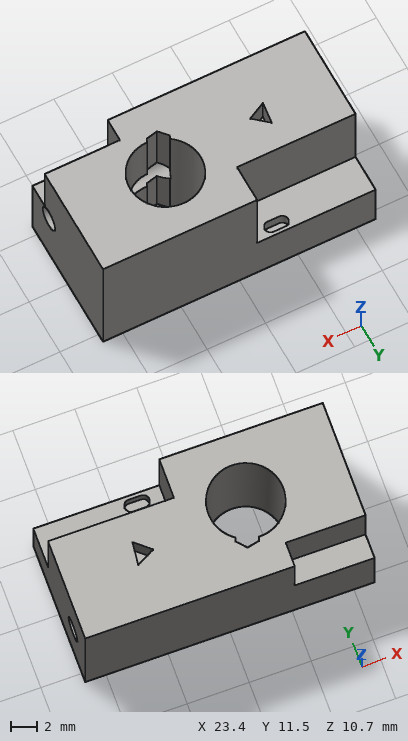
import cadquery as cq

LENGTH = 23.36
WIDTH = 11.53
HEIGHT = 10.7

REAR_STEP_LENGTH = 10.16
REAR_STEP_WIDTH = 3.27
REAR_STEP_DROP = 6.35
FRONT_STEP_LENGTH = 6.45
FRONT_STEP_WIDTH = 2.0
FRONT_STEP_DROP = 4.7

BORE_DIAMETER = 6.05
BORE_X = 15.2
BORE_Y = 6.17
NOTCH_SIDES = 6
NOTCH_DIAMETER = 2.06
NOTCH_OFFSET = 2.69
NOTCH_ANGLE = 252.2

CROSS_HOLE_DIAMETER = 2.0
CROSS_HOLE_Y = 2.71
CROSS_HOLE_Z = 5.12

POCKET_BASE = 1.88
POCKET_REACH = 1.4
POCKET_BASE_X = 5.89
POCKET_BASE_Y = 5.08
POCKET_ANGLE = -6.6
POCKET_DEPTH = 2.0

RECESS_LENGTH = 2.0
RECESS_WIDTH = 1.0
RECESS_X = 8.08
RECESS_Y = 10.73
RECESS_DEPTH = 1.0


def corner_step(x, y, length, width, drop):
    """Box that lowers one corner of the top face by the given drop."""
    return cq.Workplane("XY").box(length, width, drop, centered=False).translate((x, y, HEIGHT - drop))


def notched_bore():
    """Vertical bore joined with the hexagonal notch, one hexagon corner pointing outward."""
    bore = cq.Workplane("XY").circle(BORE_DIAMETER / 2).extrude(HEIGHT)
    notch = cq.Workplane("XY").center(NOTCH_OFFSET, 0).polygon(NOTCH_SIDES, NOTCH_DIAMETER).extrude(HEIGHT)
    notch = notch.rotate((0, 0, 0), (0, 0, 1), NOTCH_ANGLE)
    return bore.union(notch).translate((BORE_X, BORE_Y, 0))


def cross_hole():
    """Cylinder along X through the full length."""
    plane = cq.Workplane("YZ").center(CROSS_HOLE_Y, CROSS_HOLE_Z)
    return plane.circle(CROSS_HOLE_DIAMETER / 2).extrude(LENGTH)


def triangular_pocket():
    """Isosceles prism sunk into the top face, turned about the middle of its base."""
    corners = [(0, -POCKET_BASE / 2), (POCKET_REACH, 0), (0, POCKET_BASE / 2)]
    prism = cq.Workplane("XY").polyline(corners).close().extrude(POCKET_DEPTH)
    prism = prism.rotate((0, 0, 0), (0, 0, 1), POCKET_ANGLE)
    return prism.translate((POCKET_BASE_X, POCKET_BASE_Y, HEIGHT - POCKET_DEPTH))


def step_recess():
    """Blind round-ended recess below the floor of the rear step."""
    recess = cq.Workplane("XY").slot2D(RECESS_LENGTH, RECESS_WIDTH).extrude(RECESS_DEPTH)
    return recess.translate((RECESS_X, RECESS_Y, HEIGHT - REAR_STEP_DROP - RECESS_DEPTH))


rear_step = corner_step(
    0, WIDTH - REAR_STEP_WIDTH, REAR_STEP_LENGTH, REAR_STEP_WIDTH, REAR_STEP_DROP
)
front_step = corner_step(
    LENGTH - FRONT_STEP_LENGTH, 0, FRONT_STEP_LENGTH, FRONT_STEP_WIDTH, FRONT_STEP_DROP
)

result = cq.Workplane("XY").box(LENGTH, WIDTH, HEIGHT, centered=False)
result = result.cut(rear_step).cut(front_step)
result = result.cut(notched_bore()).cut(cross_hole())
result = result.cut(triangular_pocket()).cut(step_recess())